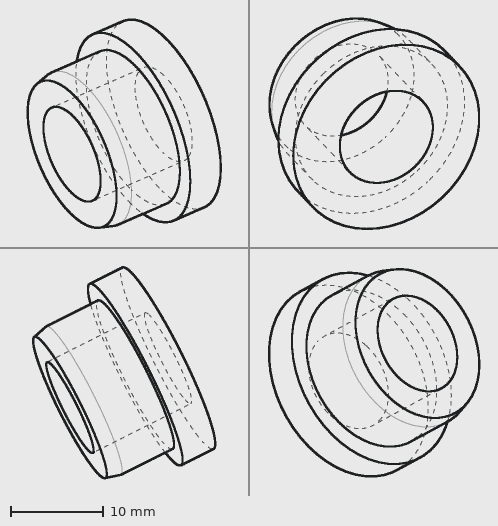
import cadquery as cq
import math

flange_diameter = 22.0
flange_thickness = 4.0
body_diameter = 18.0
bore_diameter = 11.0
total_length = 12.0
taper_length = 1.65
taper_angle = 15.0

flange_radius = flange_diameter / 2
body_radius = body_diameter / 2
bore_radius = bore_diameter / 2
tip_radius = body_radius - taper_length * math.tan(math.radians(taper_angle))
flange_start = total_length - flange_thickness

half_section = (
    cq.Workplane("XY")
    .moveTo(bore_radius, 0)
    .lineTo(tip_radius, 0)
    .lineTo(body_radius, taper_length)
    .lineTo(body_radius, flange_start)
    .lineTo(flange_radius, flange_start)
    .lineTo(flange_radius, total_length)
    .lineTo(bore_radius, total_length)
    .close()
)

result = half_section.revolve(360, (0, 0, 0), (0, 1, 0))